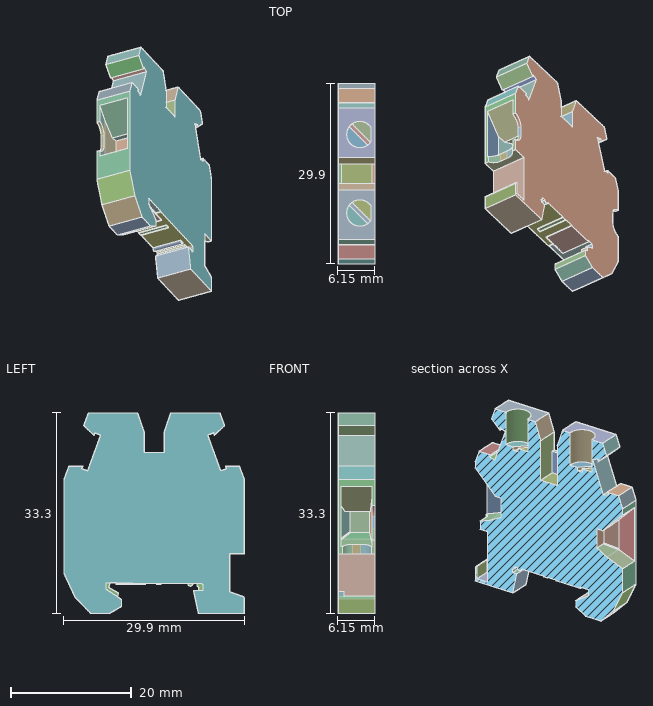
import cadquery as cq

WIDTH = 6.15
LENGTH = 29.9
HEIGHT = 33.25
HALF = LENGTH / 2

SHOULDER_Z = 24.42
SHOULDER_CHAMFER_Y = 0.82
SIDE_TOP_Z = 22.24
SHOULDER_INNER_Y = 11.8
SHOULDER_NICK = (11.97, 24.0)
TOWER_FOOT = (11.02, 23.7)
TOWER_NECK = (8.9, 29.55)
HEAD_NICK = (9.83, 29.92)
HEAD_BARB = (9.95, 29.5)
HEAD_CORNER = (11.68, 31.15)
HEAD_OUTER_Y = 10.9
HEAD_INNER_Y = 2.72
GAP_HALF = 1.63
GAP_CHAMFER_Z = 30.05
GAP_FLOOR_Z = 26.7

SHELF_Z = 9.91
RECESS_DEPTH = 2.42
RECESS_FOOT_Z = 3.63
LIP_CORNER_Z = 2.77
LIP_RADIUS = 0.45
RAIL_CEILING_Z = 4.96
CLIP_CEILING_Z = 5.08
CEILING_STEP_Y = 3.57
RAIL_STOP_Y = -8.08
RAIL_STOP_Z = 3.87
RAIL_CORNER_RADIUS = 0.25
RAIL_STOP_TIP_Y = -6.48
FOOT_BASE_Y = -7.32
CLIP_ROOT = (7.96, 4.05)
CLIP_TIP_Y = 5.39
CLIP_TIP_Z = (1.18, 2.36)
CLIP_BASE_Y = (7.42, 10.48)
CLIP_KNEE = (13.1, 2.7)
CLIP_SIDE_FOOT_Z = 6.65

WELL_RADIUS = 2.18
WELL_X = 3.6
WELL_Y = 6.5
WELL_FLAT_X = 5.48
WELL_DEPTH = 6.0
DRIVE_WIDTH = 0.65
DRIVE_DEPTH = 0.6
DRIVE_ANGLE = -45

CENTRE_POCKET_X = (0.6, 5.6)
CENTRE_POCKET_DEPTH = 4.0

ENTRY_X = (0.48, 5.59)
ENTRY_BACK_X = (1.94, 5.2)
ENTRY_Z = (11.1, 21.06)
ENTRY_BACK_Z = (13.45, 16.92)
ENTRY_DEPTH = 5.2
ENTRY_CEILING_DEPTH = 4.1
ENTRY_TAPER_DEPTH = 3.2
ENTRY_TAPER_Z = 12.33
ENTRY_FAR_TAPER_DEPTH = 1.9
ENTRY_CORNER_CHAMFER = 0.12

NOTCH_Z = (12.15, 17.95)
NOTCH_DEPTH = 1.55
NOTCH_RADIUS = 1.9

SCOOP_X = (0.72, 5.5)
SCOOP_FLAT_X = (2.42, 3.75)
SCOOP_DEPTH = 1.0
SCOOP_MID_INSET = 0.65
SCOOP_MID_DEPTH = 0.75

PLATE = 0.97
RELEASE_SLOT_FLOOR_Z = 0.6
RELEASE_LIP_THICKNESS = 0.43
LINER_START_X = 5.0
LINER_TOP_Y = 7.28
LINER_BEND = (7.5, 4.35)
LINER_NOSE = (5.93, 3.44)
LINER_END = (6.0, 2.5)
FILLING_TOP_Y = -7.08
FILLING_TOP_EDGE_Z = 4.6
FILLING_BEND = (-7.38, 4.35)
FILLING_FOOT_Y = -7.32
NUB_Y = -5.98
NUB_RADIUS = 0.42
PAD_Z = 4.85
PAD_SPANS = ((1.4, 6.3), (-1.15, -0.35))


def side_polygon(points, start_x, end_x):
    """Extrude a closed YZ outline along X."""
    return cq.Workplane("YZ", origin=(start_x, 0, 0)).polyline(points).close().extrude(end_x - start_x)


def box_between(x_range, y_range, z_range):
    sizes = [high - low for low, high in (x_range, y_range, z_range)]
    corner = (x_range[0], y_range[0], z_range[0])
    return cq.Workplane("XY").box(*sizes, centered=False).translate(corner)


def round_long_edge(solid, y, z, radius):
    """Round the edge running along X at the given Y and Z."""
    edge = cq.selectors.NearestToPointSelector((WIDTH / 2, y, z))
    return solid.edges("|X").edges(edge).fillet(radius)


def make_body():
    upper_half = [
        (HALF, SIDE_TOP_Z),
        (HALF - SHOULDER_CHAMFER_Y, SHOULDER_Z),
        (SHOULDER_INNER_Y, SHOULDER_Z),
        SHOULDER_NICK,
        TOWER_FOOT,
        TOWER_NECK,
        HEAD_NICK,
        HEAD_BARB,
        HEAD_CORNER,
        (HEAD_OUTER_Y, HEIGHT),
        (HEAD_INNER_Y, HEIGHT),
        (GAP_HALF, GAP_CHAMFER_Z),
        (GAP_HALF, GAP_FLOOR_Z),
    ]
    front_upper = [(-y, z) for y, z in upper_half]
    clip = [
        (HALF, CLIP_SIDE_FOOT_Z),
        CLIP_KNEE,
        (CLIP_BASE_Y[1], 0),
        (CLIP_BASE_Y[0], 0),
        (CLIP_TIP_Y, CLIP_TIP_Z[0]),
        (CLIP_TIP_Y, CLIP_TIP_Z[1]),
        CLIP_ROOT,
        (CLIP_ROOT[0], CLIP_CEILING_Z),
        (CEILING_STEP_Y, CLIP_CEILING_Z),
        (CEILING_STEP_Y, RAIL_CEILING_Z),
    ]
    foot = [
        (RAIL_STOP_Y, RAIL_CEILING_Z),
        (RAIL_STOP_Y, RAIL_STOP_Z),
        (RAIL_STOP_TIP_Y, RAIL_STOP_Z),
        (FOOT_BASE_Y, 0),
        (-HALF, 0),
        (-HALF, LIP_CORNER_Z),
        (-HALF + RECESS_DEPTH, RECESS_FOOT_Z),
        (-HALF + RECESS_DEPTH, SHELF_Z),
        (-HALF, SHELF_Z),
    ]
    points = front_upper + upper_half[::-1] + clip + foot
    body = side_polygon(points, 0, WIDTH)
    body = round_long_edge(body, -HALF, LIP_CORNER_Z, LIP_RADIUS)
    return round_long_edge(body, RAIL_STOP_Y, RAIL_CEILING_Z, RAIL_CORNER_RADIUS)


def make_rail_foot_details():
    """Rail stop filling, nub and thin pads behind the side plate, and a liner at the far end of the clip."""
    clip_liner = [
        (CLIP_ROOT[0], CLIP_CEILING_Z),
        (LINER_TOP_Y, CLIP_CEILING_Z),
        LINER_BEND,
        LINER_NOSE,
        LINER_END,
        CLIP_ROOT,
    ]
    stop_filling = [
        (RAIL_STOP_Y, RAIL_CEILING_Z),
        (FILLING_TOP_Y, RAIL_CEILING_Z),
        (FILLING_TOP_Y, FILLING_TOP_EDGE_Z),
        FILLING_BEND,
        (FILLING_FOOT_Y, RAIL_STOP_Z),
        (RAIL_STOP_Y, RAIL_STOP_Z),
    ]
    nub_plane = cq.Workplane("YZ", origin=(PLATE, NUB_Y, RAIL_CEILING_Z))
    details = nub_plane.circle(NUB_RADIUS).extrude(WIDTH - PLATE)
    details = details.union(side_polygon(clip_liner, LINER_START_X, WIDTH))
    details = details.union(side_polygon(stop_filling, PLATE, WIDTH))
    for span in PAD_SPANS:
        details = details.union(box_between((PLATE, WIDTH), span, (PAD_Z, CLIP_CEILING_Z)))
    return details


def make_release_slot():
    """Slot behind the front lip, closed by the side plate."""
    y_range = (-HALF + RELEASE_LIP_THICKNESS, -HALF + RECESS_DEPTH)
    return box_between((PLATE, WIDTH), y_range, (RELEASE_SLOT_FLOOR_Z, RECESS_FOOT_Z))


def make_screw_well(y):
    """Flat-sided well with a diagonal screwdriver slot in the screw head at its floor."""
    depth = WELL_DEPTH + DRIVE_DEPTH
    across = (-WELL_RADIUS, WELL_RADIUS)
    up_to_flat = (-WELL_RADIUS, WELL_FLAT_X - WELL_X)
    bore = cq.Workplane("XY").circle(WELL_RADIUS).extrude(depth)
    bore = bore.intersect(box_between(up_to_flat, across, (0, depth)))
    drive = cq.Workplane("XY").rect(3 * WELL_RADIUS, DRIVE_WIDTH).extrude(depth)
    drive = drive.rotate((0, 0, 0), (0, 0, 1), DRIVE_ANGLE)
    above_screw = box_between(across, across, (DRIVE_DEPTH, depth))
    well = bore.intersect(drive.union(above_screw))
    return well.translate((WELL_X, y, HEIGHT - depth))


def make_wire_entry():
    """Front funnel: its side shape crossed with its plan shape."""
    side_shape = [
        (-HALF, ENTRY_Z[0]),
        (-HALF + ENTRY_TAPER_DEPTH, ENTRY_TAPER_Z),
        (-HALF + ENTRY_DEPTH, ENTRY_BACK_Z[0]),
        (-HALF + ENTRY_DEPTH, ENTRY_BACK_Z[1]),
        (-HALF + ENTRY_CEILING_DEPTH, ENTRY_BACK_Z[1]),
        (-HALF, ENTRY_Z[1]),
    ]
    plan_shape = [
        (ENTRY_X[0], -HALF),
        (ENTRY_X[0], -HALF + ENTRY_TAPER_DEPTH),
        (ENTRY_BACK_X[0], -HALF + ENTRY_DEPTH),
        (ENTRY_BACK_X[1], -HALF + ENTRY_DEPTH),
        (ENTRY_X[1], -HALF + ENTRY_FAR_TAPER_DEPTH),
        (ENTRY_X[1], -HALF),
    ]
    plan = cq.Workplane("XY").polyline(plan_shape).close().extrude(HEIGHT)
    funnel = side_polygon(side_shape, 0, WIDTH).intersect(plan)
    corner_edge_middle = (
        (ENTRY_X[0] + ENTRY_BACK_X[0]) / 2,
        -HALF + (ENTRY_TAPER_DEPTH + ENTRY_DEPTH) / 2,
        (ENTRY_TAPER_Z + ENTRY_BACK_Z[0]) / 2,
    )
    corner_edge = cq.selectors.NearestToPointSelector(corner_edge_middle)
    return funnel.edges(corner_edge).chamfer(ENTRY_CORNER_CHAMFER)


def make_wall_notch():
    """Front notch with rounded ends, through the far side wall."""
    low, high = NOTCH_Z
    return (
        cq.Workplane("YZ", origin=(ENTRY_BACK_X[1], 0, 0))
        .center(-HALF + NOTCH_DEPTH - NOTCH_RADIUS, (low + high) / 2)
        .slot2D(high - low, 2 * NOTCH_RADIUS, 90)
        .extrude(WIDTH - ENTRY_BACK_X[1])
    )


def make_scoop():
    """Upright hollow with a flat middle, in the wall under the front entry."""
    left, right = SCOOP_X
    flat_left, flat_right = SCOOP_FLAT_X
    floor_y = -HALF + SCOOP_DEPTH
    half_depth_y = -HALF + SCOOP_MID_DEPTH
    return (
        cq.Workplane("XY", origin=(0, 0, SHELF_Z))
        .moveTo(left, -HALF)
        .threePointArc((left + SCOOP_MID_INSET, half_depth_y), (flat_left, floor_y))
        .lineTo(flat_right, floor_y)
        .threePointArc((right - SCOOP_MID_INSET, half_depth_y), (right, -HALF))
        .close()
        .extrude(ENTRY_TAPER_Z - SHELF_Z)
    )


result = make_body().union(make_rail_foot_details()).cut(make_release_slot())
centre_pocket_z = (GAP_FLOOR_Z - CENTRE_POCKET_DEPTH, GAP_FLOOR_Z)
result = result.cut(box_between(CENTRE_POCKET_X, (-GAP_HALF, GAP_HALF), centre_pocket_z))
for well_y in (-WELL_Y, WELL_Y):
    result = result.cut(make_screw_well(well_y))
for opening in (make_wire_entry(), make_wall_notch()):
    result = result.cut(opening).cut(opening.mirror("XZ"))
result = result.cut(make_scoop())